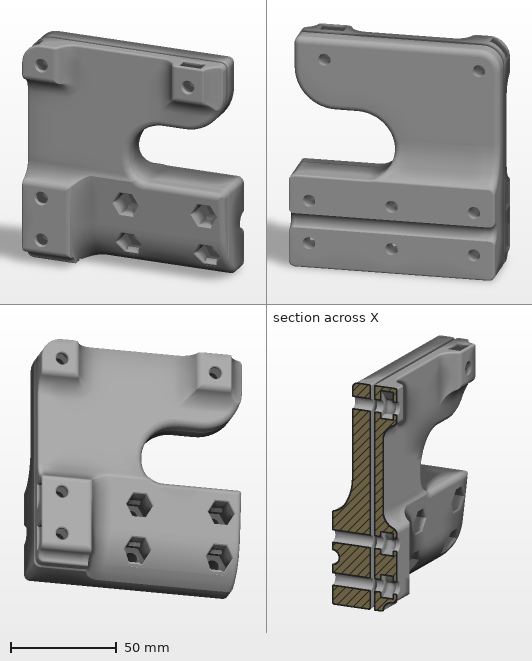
import cadquery as cq
import math

WIDTH = 100.0
HEIGHT = 111.1
DEPTH = 34.2
CLEAR = 22.2

PLATE_FRONT = 7.2
PLATE_BACK = 12.0
GAP = 2.0
REAR_FRONT = PLATE_BACK + GAP
REAR_THIN_BACK = 23.7

EDGE = 1.0
ROUND = 3.0
LOW_ROUND = 2.8

TOP_LEFT_RADIUS = 10.0
ARM_RADIUS = 20.0
SLOT_TOP = 75.8
SLOT_BOTTOM = 46.0
SLOT_RADIUS = 18.0
SLOT_CENTRE_X = 69.2
SLOT_FOOT_RADIUS = 10.0
LEFT_CORNER = (0, 0)
ALL_CORNERS = (LEFT_CORNER, (WIDTH, 0), (WIDTH, SLOT_BOTTOM), (WIDTH, HEIGHT))

FLARE = 8.0
TOP_PAD_BOTTOM = 95.1
LEFT_PAD_RIGHT = 15.8
RIGHT_PAD_LEFT = 78.9
RIGHT_PAD_RIGHT = 93.0
LOW_PAD_TOP = 39.0
LOW_PAD_RIGHT = 22.4
LOW_PAD_BOTTOM = 7.7
LOW_PAD_FOOT_FLARE = 4.3
LOW_PAD_SIDE_FLARE = 9.0

LOW_FACE_TOP = 46.1
LOW_FACE_BOTTOM = 20.8
LOW_FACE_TILT = math.radians(6.5)
LOW_ROUND_RADIUS = 26.4

SPACER_LEFT = 25.0
SPACER_TOP = 86.4
SPACER_CORNER_RADIUS = 10.0

REAR_CURVE_TOP = 63.7
REAR_CURVE_RADIUS = 25.0
REAR_FOOT_RADIUS = 10.0
GROOVE_RADIUS = 3.5
GROOVE_Z = 23.3
GROOVE_LIP = 2.5

HOLE_DIAMETER = 6.0
HOLE_CHAMFER = 0.4
LEFT_HOLES_X = 10.0
TOP_HOLES_Z = 101.1
RIGHT_HOLE_X = 85.0
LOW_HOLES_Z = (33.7, 12.4)
HEX_HOLES_X = (50.0, 90.0)
NUT_FLATS = 11.0
NUT_SLOT_FRONT = 2.0
NUT_SLOT_BACK = 8.4
NUT_SLOT_CHAMFER = 0.8
NUT_TO_MOUTH = 10.0
HEX_FLATS = 11.1
HEX_MOUTH_CHAMFER = 0.4
HEX_FLOOR = 24.4
CLIP_WIDTH = 5.4
CLIP_HEIGHT = 1.5
CLIP_FRONT = 16.7


def prism(front, back):
    """Workplane and signed length for extruding an XZ outline between two depths."""
    return cq.Workplane("XZ", origin=(0, front, 0)), front - back


def block(x0, x1, y0, y1, z0, z1):
    return cq.Workplane("XY").box(x1 - x0, y1 - y0, z1 - z0, centered=False).translate((x0, y0, z0))


def near(x, y, z):
    return cq.selectors.NearestToPointSelector((x, y, z))


def outline(front, back, rounded_corners=ALL_CORNERS):
    """Silhouette of both plates: rounded rectangle with a round-ended slot open to the right."""
    diag = math.sqrt(0.5)
    slot_centre_z = SLOT_TOP - SLOT_RADIUS
    foot_z = SLOT_BOTTOM + SLOT_FOOT_RADIUS
    foot_x = SLOT_CENTRE_X - math.sqrt(
        (SLOT_RADIUS - SLOT_FOOT_RADIUS) ** 2 - (slot_centre_z - foot_z) ** 2
    )
    join = math.atan2(foot_z - slot_centre_z, foot_x - SLOT_CENTRE_X) % (2 * math.pi)

    def on_circle(cx, cz, radius, angle):
        return (cx + radius * math.cos(angle), cz + radius * math.sin(angle))

    slot_mid = on_circle(SLOT_CENTRE_X, slot_centre_z, SLOT_RADIUS, (join + math.pi / 2) / 2)
    slot_end = on_circle(SLOT_CENTRE_X, slot_centre_z, SLOT_RADIUS, join)
    foot_mid = on_circle(foot_x, foot_z, SLOT_FOOT_RADIUS, (join + 1.5 * math.pi) / 2)
    arm_x = WIDTH - ARM_RADIUS
    arm_z = SLOT_TOP + ARM_RADIUS
    plane, length = prism(front, back)
    body = (
        plane.moveTo(0, 0)
        .lineTo(0, HEIGHT)
        .lineTo(WIDTH, HEIGHT)
        .lineTo(WIDTH, arm_z)
        .threePointArc((arm_x + ARM_RADIUS * diag, arm_z - ARM_RADIUS * diag), (arm_x, SLOT_TOP))
        .lineTo(SLOT_CENTRE_X, SLOT_TOP)
        .threePointArc(slot_mid, slot_end)
        .threePointArc(foot_mid, (foot_x, SLOT_BOTTOM))
        .lineTo(WIDTH, SLOT_BOTTOM)
        .lineTo(WIDTH, 0)
        .close()
        .extrude(length)
    )

    def corner(x, z):
        return cq.selectors.BoxSelector((x - 1.1, -CLEAR, z - 1.1), (x + 1.1, DEPTH + CLEAR, z + 1.1))

    body = body.edges(corner(0, HEIGHT)).fillet(TOP_LEFT_RADIUS)
    for x, z in rounded_corners:
        body = body.edges(corner(x, z)).fillet(ROUND)
    return body


def flare_sweep(flare):
    """Angle turned by the crest and flare arcs, which meet tangentially."""
    return math.acos(1 - PLATE_FRONT / (flare + ROUND))


def crest_width(flare):
    return ROUND * math.sin(flare_sweep(flare))


def flare_reach(flare):
    return flare * math.sin(flare_sweep(flare))


def flare_middle(flare):
    """Distance from the crest's end and depth, halfway round the flare arc."""
    half = flare_sweep(flare) / 2
    return (flare_reach(flare) - flare * math.sin(half), PLATE_FRONT - flare * (1 - math.cos(half)))


def flared_side(plane, edge, direction, flare=FLARE):
    """Long slab whose flat front stops at `edge`, then rounds over and flares out to the plate."""

    def crest(angle):
        return (edge + direction * ROUND * math.sin(angle), ROUND * (1 - math.cos(angle)))

    sweep = flare_sweep(flare)
    root = edge + direction * crest_width(flare)
    middle_run, middle_depth = flare_middle(flare)
    flare_end = root + direction * flare_reach(flare)
    inner = edge - direction * (HEIGHT + CLEAR)
    points = [
        (inner, 0),
        (edge, 0),
        crest(sweep / 2),
        crest(sweep),
        (root + direction * middle_run, middle_depth),
        (flare_end, PLATE_FRONT),
        (flare_end, PLATE_BACK),
        (inner, PLATE_BACK),
    ]
    if plane == "YZ":
        points = [(depth, across) for across, depth in points]
    profile = cq.Workplane(plane).polyline(points[:2])
    profile = profile.threePointArc(points[2], points[3]).threePointArc(points[4], points[5])
    return profile.lineTo(*points[6]).lineTo(*points[7]).close().extrude(2 * HEIGHT, both=True)


def top_left_pad():
    """Flared pad whose flare turns round its free corner."""
    corner_x = LEFT_PAD_RIGHT + crest_width(FLARE)
    corner_z = TOP_PAD_BOTTOM - crest_width(FLARE)
    pad = flared_side("XY", LEFT_PAD_RIGHT, 1).intersect(flared_side("YZ", TOP_PAD_BOTTOM, -1))
    turn = block(corner_x, WIDTH, -CLEAR, DEPTH, -CLEAR, corner_z)
    crest_depth = ROUND * (1 - math.cos(flare_sweep(FLARE)))
    skirt = (
        cq.Workplane("XY")
        .moveTo(0, crest_depth)
        .threePointArc(flare_middle(FLARE), (flare_reach(FLARE), PLATE_FRONT))
        .lineTo(flare_reach(FLARE), PLATE_BACK)
        .lineTo(0, PLATE_BACK)
        .close()
        .revolve(360, (0, 0), (0, 1))
        .translate((corner_x, 0, corner_z))
    )
    return pad.cut(turn).union(skirt.intersect(turn))


def top_right_pad():
    """Flared pad with a hollow running down its right side."""
    pad = flared_side("XY", RIGHT_PAD_LEFT, -1).intersect(flared_side("YZ", TOP_PAD_BOTTOM, -1))
    axis_depth = PLATE_FRONT - FLARE
    axis_x = RIGHT_PAD_RIGHT + math.sqrt(FLARE**2 - axis_depth**2)
    hollow = cq.Workplane("XY").center(axis_x, axis_depth).circle(FLARE).extrude(HEIGHT + CLEAR)
    beyond = block(axis_x, WIDTH + CLEAR, -CLEAR, PLATE_FRONT, 0, HEIGHT + CLEAR)
    return pad.cut(hollow).cut(beyond)


def lower_block():
    """Raised lower body, flared down to the plate above and below."""
    top = flared_side("YZ", LOW_PAD_TOP, 1)
    return top.intersect(flared_side("YZ", LOW_PAD_BOTTOM, -1, LOW_PAD_FOOT_FLARE))


def lower_face_cutter():
    """Removes the material ahead of the tilted and rounded lower front face, right of the low pad."""
    flare_top = LOW_PAD_TOP + crest_width(FLARE) + flare_reach(FLARE)
    top_depth = PLATE_FRONT - FLARE + math.sqrt(FLARE**2 - (flare_top - LOW_FACE_TOP) ** 2)
    tilt_depth = top_depth + (LOW_FACE_TOP - LOW_FACE_BOTTOM) * math.tan(LOW_FACE_TILT)
    centre_y = tilt_depth + LOW_ROUND_RADIUS * math.cos(LOW_FACE_TILT)
    centre_z = LOW_FACE_BOTTOM + LOW_ROUND_RADIUS * math.sin(LOW_FACE_TILT)

    def rounded(angle):
        return (
            centre_y - LOW_ROUND_RADIUS * math.cos(angle),
            centre_z - LOW_ROUND_RADIUS * math.sin(angle),
        )

    end_angle = math.asin(centre_z / LOW_ROUND_RADIUS)
    over = 11.1
    side = LOW_PAD_SIDE_FLARE
    wall_x = LOW_PAD_RIGHT + crest_width(side) + flare_reach(side) - side
    body = (
        cq.Workplane("YZ", origin=(wall_x, 0, 0))
        .moveTo(-CLEAR, LOW_FACE_TOP + over)
        .lineTo(top_depth - over * math.tan(LOW_FACE_TILT), LOW_FACE_TOP + over)
        .lineTo(tilt_depth, LOW_FACE_BOTTOM)
        .threePointArc(rounded((LOW_FACE_TILT + end_angle) / 2), rounded(end_angle))
        .lineTo(rounded(end_angle)[0], -CLEAR)
        .lineTo(-CLEAR, -CLEAR)
        .close()
        .extrude(WIDTH)
    )
    inner_corner = cq.selectors.BoxSelector(
        (wall_x - EDGE, 0, EDGE), (wall_x + EDGE, DEPTH, LOW_FACE_TOP + over - EDGE)
    )
    body = body.edges(inner_corner).fillet(side)
    crest_depth = ROUND * (1 - math.cos(flare_sweep(side)))
    crest = block(LOW_PAD_RIGHT, wall_x + side, -CLEAR, crest_depth, -CLEAR, LOW_FACE_TOP)
    crest_bar = cq.Workplane("XY").center(LOW_PAD_RIGHT, ROUND).circle(ROUND).extrude(HEIGHT)
    return body.union(crest.cut(crest_bar))


def front_stock():
    """Full-depth stock carrying the finished front faces and their rounded edges."""
    behind = block(-CLEAR, WIDTH + CLEAR, PLATE_FRONT, DEPTH, -CLEAR, HEIGHT + CLEAR)
    relief = behind.union(top_left_pad()).union(top_right_pad()).union(lower_block())
    body = outline(0, DEPTH, [LEFT_CORNER]).intersect(relief).cut(lower_face_cutter())
    left_edge = near(0, PLATE_FRONT, (LOW_FACE_TOP + TOP_PAD_BOTTOM) / 2)
    slot_edge = near((SLOT_CENTRE_X + WIDTH - ARM_RADIUS) / 2, PLATE_FRONT, SLOT_TOP)
    ledge_edge = near((SLOT_CENTRE_X + WIDTH) / 2, PLATE_FRONT, SLOT_BOTTOM)
    low_right_edge = near(WIDTH, PLATE_FRONT + 1.1, (LOW_FACE_TOP + LOW_FACE_BOTTOM) / 2)
    arm_edge = near(WIDTH, PLATE_FRONT, (SLOT_TOP + ARM_RADIUS + HEIGHT) / 2)
    body = body.edges(left_edge).fillet(EDGE)
    body = body.edges(ledge_edge + low_right_edge).fillet(LOW_ROUND)
    body = body.edges(slot_edge).fillet(ROUND)
    return body.edges(arm_edge).fillet(EDGE)


def spacer():
    """Thin layer joining the plates, open at the left and the top."""
    window = block(SPACER_LEFT, WIDTH + CLEAR, PLATE_BACK, REAR_FRONT, -CLEAR, SPACER_TOP)
    window = window.edges("|Y and <X and >Z").fillet(SPACER_CORNER_RADIUS)
    return outline(PLATE_BACK, REAR_FRONT).intersect(window)


def rear_body():
    """Rear plate, thick below and thinned above along a two-radius curve."""
    bend_y = REAR_THIN_BACK + REAR_CURVE_RADIUS
    foot_z = SLOT_BOTTOM + REAR_FOOT_RADIUS
    centre_distance = REAR_CURVE_RADIUS - REAR_FOOT_RADIUS
    foot_y = bend_y - math.sqrt(centre_distance**2 - (REAR_CURVE_TOP - foot_z) ** 2)
    join = math.asin((REAR_CURVE_TOP - foot_z) / centre_distance)

    def on_arc(centre_y, centre_z, radius, angle):
        return (centre_y - radius * math.cos(angle), centre_z - radius * math.sin(angle))

    bend_mid = on_arc(bend_y, REAR_CURVE_TOP, REAR_CURVE_RADIUS, join / 2)
    bend_end = on_arc(bend_y, REAR_CURVE_TOP, REAR_CURVE_RADIUS, join)
    foot_mid = on_arc(foot_y, foot_z, REAR_FOOT_RADIUS, (join + math.pi / 2) / 2)
    hollow = (
        cq.Workplane("YZ", origin=(-CLEAR, 0, 0))
        .moveTo(REAR_THIN_BACK, HEIGHT + CLEAR)
        .lineTo(REAR_THIN_BACK, REAR_CURVE_TOP)
        .threePointArc(bend_mid, bend_end)
        .threePointArc(foot_mid, (foot_y, SLOT_BOTTOM))
        .lineTo(foot_y, HEIGHT + CLEAR)
        .close()
        .extrude(WIDTH + 2 * CLEAR)
    )
    body = outline(REAR_FRONT, DEPTH).cut(hollow)
    thin_left_edge = near(0, REAR_THIN_BACK, (REAR_CURVE_TOP + HEIGHT) / 2)
    body = body.edges(thin_left_edge).fillet(ROUND)
    body = body.faces(">Y").edges().fillet(EDGE)
    return body.faces("<Y").edges().fillet(EDGE)


def main_body():
    """Front faces cut into the stack of front plate, spacer and rear plate."""
    stack = outline(0, PLATE_BACK).union(spacer()).union(rear_body())
    return front_stock().intersect(stack)


def groove():
    """Half-round groove across the back, flared at both ends."""
    lip_radius = GROOVE_RADIUS + GROOVE_LIP
    quarter = GROOVE_LIP * (1 - math.sqrt(0.5))
    lip = (
        cq.Workplane("XY")
        .lineTo(0, lip_radius)
        .threePointArc((quarter, GROOVE_RADIUS + quarter), (GROOVE_LIP, GROOVE_RADIUS))
        .lineTo(GROOVE_LIP, 0)
        .close()
        .revolve(360, (0, 0), (1, 0))
    )
    far_lip = lip.mirror("YZ").translate((WIDTH, 0, 0))
    bar = cq.Workplane("YZ").circle(GROOVE_RADIUS).extrude(WIDTH)
    return bar.union(lip).union(far_lip).translate((0, DEPTH, GROOVE_Z))


def through_hole(x, z):
    return cq.Workplane("XZ", origin=(x, 0, z)).circle(HOLE_DIAMETER / 2).extrude(-DEPTH)


def screw_hole(x, z):
    """Through hole, bevelled where it meets the front of a pad."""
    radius = HOLE_DIAMETER / 2
    mouth = cq.Solid.makeCone(
        radius + HOLE_CHAMFER, radius, HOLE_CHAMFER, cq.Vector(x, 0, z), cq.Vector(0, 1, 0)
    )
    return through_hole(x, z).union(mouth)


def nut_slot(x, z, heading):
    """Slot for a hexagonal nut, centred on a hole and open towards `heading` degrees in XZ."""
    thickness = NUT_SLOT_BACK - NUT_SLOT_FRONT
    half = NUT_FLATS / 2
    corners = NUT_FLATS / math.cos(math.pi / 6)
    nut = cq.Workplane("XZ").polygon(6, corners).extrude(thickness / 2, both=True)
    channel = block(0, CLEAR, -thickness / 2, thickness / 2, -half, half)
    bevel = (
        cq.Workplane("YZ", origin=(NUT_TO_MOUTH, 0, 0))
        .rect(thickness + 2 * NUT_SLOT_CHAMFER, NUT_FLATS + 2 * NUT_SLOT_CHAMFER)
        .extrude(-NUT_SLOT_CHAMFER, taper=45)
    )
    slot = nut.union(channel).union(bevel).rotate((0, 0, 0), (0, 1, 0), -heading)
    return slot.translate((x, NUT_SLOT_FRONT + thickness / 2, z))


def hex_pocket(body, x, z):
    """Through hole with a hexagonal pocket, bevelled at its mouth and holding two clip ridges."""
    corners = HEX_FLATS / math.cos(math.pi / 6)
    plane, length = prism(-CLEAR, HEX_FLOOR)
    hexagon = plane.center(x, z).polygon(6, corners).extrude(length)
    body = body.cut(hexagon).cut(through_hole(x, z))
    around = cq.selectors.BoxSelector(
        (x - corners / 2, 0, z - corners / 2), (x + corners / 2, HEX_FLOOR - EDGE, z + corners / 2)
    )
    along_depth = cq.selectors.ParallelDirSelector(cq.Vector(0, 1, 0))
    body = body.edges(around - along_depth).chamfer(HEX_MOUTH_CHAMFER)
    for side in (1, -1):
        wall = z + side * HEX_FLATS / 2
        ridge = (
            cq.Workplane("YZ", origin=(x, 0, 0))
            .moveTo(CLIP_FRONT, wall + side * CLIP_HEIGHT)
            .lineTo(CLIP_FRONT, wall)
            .lineTo(CLIP_FRONT + CLIP_HEIGHT, wall - side * CLIP_HEIGHT)
            .lineTo(CLIP_FRONT + 2 * CLIP_HEIGHT, wall)
            .lineTo(CLIP_FRONT + 2 * CLIP_HEIGHT, wall + side * CLIP_HEIGHT)
            .close()
            .extrude(CLIP_WIDTH / 2, both=True)
        )
        body = body.union(ridge)
    return body


pad_nuts = [(LEFT_HOLES_X, TOP_HOLES_Z, 135), (RIGHT_HOLE_X, TOP_HOLES_Z, 90)]
pad_nuts += [(LEFT_HOLES_X, z, 180) for z in LOW_HOLES_Z]

result = main_body().cut(groove())
for hole_x, hole_z, heading in pad_nuts:
    result = result.cut(screw_hole(hole_x, hole_z)).cut(nut_slot(hole_x, hole_z, heading))
for hole_x in HEX_HOLES_X:
    for hole_z in LOW_HOLES_Z:
        result = hex_pocket(result, hole_x, hole_z)